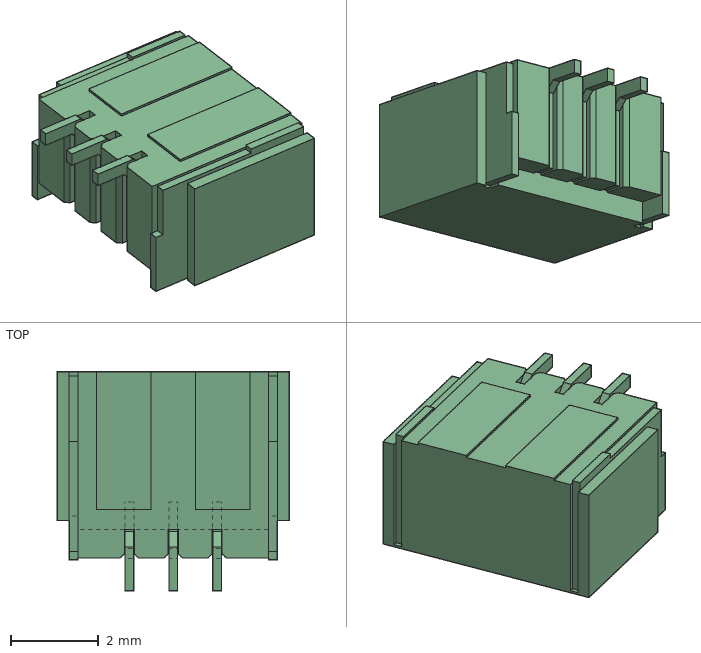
import cadquery as cq


overall_width = 5.3
core_width = 4.345
core_depth = 4.25
core_height = 2.845
base_depth = 3.6
overhang_clearance = 0.51
ear_depth = 3.395
ear_height = 2.69

pad_width = 1.25
pad_depth = 3.145
pad_rise = 0.055
top_height = core_height + pad_rise
pad_spacing = 2.26

tab_thickness = 0.2
tab_rear_gap = 0.1
tab_floor = 0.06
tab_floor_depth = 3.295
tab_front = 4.295
tab_foot_height = 1.56
tab_upper_front = 4.095
tab_shoulder_height = 2.79
tab_crest_front = 1.595

pin_count = 3
pin_pitch = 1.0
pin_width = 0.2
pin_front = 5.0
tail_thickness = 0.32
leg_rear = 3.64
leg_front = 4.035
leg_bottom = 0.55
arm_rear = 2.97
arm_thickness = 0.32
bend_top_front = 4.0
bend_top_drop = bend_top_front - leg_rear
bend_under_front = 4.26
bend_under_drop = bend_under_front - leg_front

slot_width = 0.215
slot_chamfer = 0.1

pin_positions = [(i - (pin_count - 1) / 2) * pin_pitch for i in range(pin_count)]


def block(x_min, x_max, front, rear, z_min, z_max):
    """Box between two X values, two depths in front of the rear face, and two heights."""
    size = (x_max - x_min, front - rear, z_max - z_min)
    return cq.Workplane("XY").box(*size, centered=False).translate((x_min, -front, z_min))


def side_profile(points, thickness, x_centre):
    """Plate of the given thickness from (depth, height) points in the YZ plane."""
    outline = [(-depth, height) for depth, height in points]
    plate = cq.Workplane("YZ").polyline(outline).close().extrude(thickness / 2, both=True)
    return plate.translate((x_centre, 0, 0))


def pin_slot(x_centre):
    """Vertical slot cutter with a chamfered mouth at the housing front."""
    half = slot_width / 2
    mouth = half + slot_chamfer
    outline = [
        (-half, -base_depth),
        (half, -base_depth),
        (half, slot_chamfer - core_depth),
        (mouth, -core_depth),
        (-mouth, -core_depth),
        (-half, slot_chamfer - core_depth),
    ]
    cutter = cq.Workplane("XY").polyline(outline).close().extrude(core_height)
    return cutter.translate((x_centre, 0, 0))


def arm_hole(x_centre):
    """Blind hole that runs rearward from a pin slot and fits the contact arm of the pin."""
    half = pin_width / 2
    arm_top = leg_bottom + arm_thickness
    return block(x_centre - half, x_centre + half, base_depth, arm_rear, leg_bottom, arm_top)


def make_housing():
    core_half = core_width / 2
    tab_outer = core_half + tab_thickness
    ear_half = overall_width / 2

    body = block(-core_half, core_half, base_depth, 0, 0, core_height)
    body = body.union(block(-core_half, core_half, core_depth, 0, overhang_clearance, core_height))

    body = body.union(block(-tab_outer, tab_outer, tab_floor_depth, 0, 0, tab_floor))
    body = body.union(block(-ear_half, -tab_outer, ear_depth, 0, 0, ear_height))
    body = body.union(block(tab_outer, ear_half, ear_depth, 0, 0, ear_height))

    for pad_x in (-pad_spacing / 2, pad_spacing / 2):
        pad_left = pad_x - pad_width / 2
        pad = block(pad_left, pad_left + pad_width, pad_depth, 0, core_height, top_height)
        body = body.union(pad)

    for pin_x in pin_positions:
        body = body.cut(pin_slot(pin_x)).cut(arm_hole(pin_x))
    return body


def make_tab(x_centre):
    """Weld tab with a forward foot below and a raised crest at the rear."""
    outline = [
        (tab_rear_gap, tab_floor),
        (tab_front, tab_floor),
        (tab_front, tab_foot_height),
        (tab_upper_front, tab_foot_height),
        (tab_upper_front, tab_shoulder_height),
        (tab_crest_front, tab_shoulder_height),
        (tab_crest_front, top_height),
        (tab_rear_gap, top_height),
    ]
    return side_profile(outline, tab_thickness, x_centre)


def make_pin(x_centre):
    """Pin with a contact arm in the housing, a vertical leg in the slot and a horizontal tail."""
    arm_top = leg_bottom + arm_thickness
    tail_bottom = top_height - tail_thickness
    outline = [
        (arm_rear, leg_bottom),
        (leg_front, leg_bottom),
        (leg_front, tail_bottom - bend_under_drop),
        (bend_under_front, tail_bottom),
        (pin_front, tail_bottom),
        (pin_front, top_height),
        (bend_top_front, top_height),
        (leg_rear, top_height - bend_top_drop),
        (leg_rear, arm_top),
        (arm_rear, arm_top),
    ]
    return side_profile(outline, pin_width, x_centre)


housing = make_housing()
tab_offset = (core_width + tab_thickness) / 2
tabs = [make_tab(x) for x in (-tab_offset, tab_offset)]
pins = [make_pin(x) for x in pin_positions]

result = cq.Compound.makeCompound([
    housing.val(),
    *[tab.val() for tab in tabs],
    *[pin.val() for pin in pins],
])